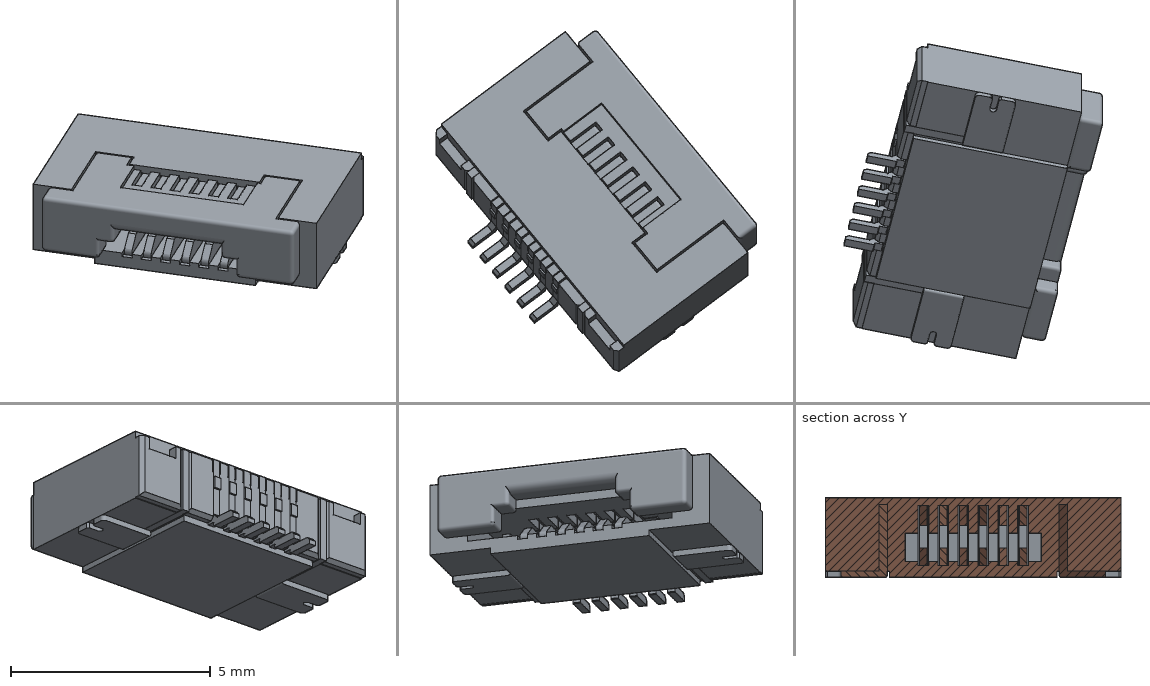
import cadquery as cq


HOUSING_WIDTH = 7.4
HOUSING_HEIGHT = 2.0
HOUSING_REAR = 4.2
LEDGE_DEPTH = 0.25
LEDGE_START = HOUSING_REAR - LEDGE_DEPTH
LEDGE_TOP = 1.82
LEDGE_BOTTOM = 0.17
LEDGE_CHAMFER = 0.1
FOOT_WIDTH = 4.2
NAIL_THICKNESS = 0.15

LEDGE_POCKET_INNER = 2.58
LEDGE_POCKET_OUTER = 3.45
LEDGE_POCKET_FLOOR = 1.5

CAVITY_WIDTH = 5.4
CAVITY_FLOOR = 0.4
CABLE_WIDTH = 3.4
CABLE_STOP = 2.95
ROOF_EDGE = 1.71
EAR_STOP = 2.12

SLIDE_GAP = 0.05
PLATE_BOTTOM = 1.1
FLANGE_WIDTH = 6.58
FLANGE_BOTTOM = 0.5
FLANGE_FRONT = -0.65
FLANGE_FILLET = 0.1
MOUTH_WIDTH = 2.8
MOUTH_TOP = 1.33
MOUTH_TOP_FILLET = 0.2
MOUTH_SIDE_FILLET = 0.1
LOWER_MOUTH_FILLET = 0.08
RIM_MARGIN = 0.03
LOWER_MOUTH_WIDTH = 3.58
LOWER_MOUTH_TOP = 1.0
WINDOW_LEFT = -1.56
WINDOW_RIGHT = 1.66
WINDOW_FRONT = 0.45
WINDOW_DEPTH = 0.1

CONTACT_COUNT = 6
PITCH = 0.5
CONTACT_THICKNESS = 0.2
SLOT_WIDTH = 0.26
SLOT_CLEARANCE_DEPTH = 0.3
CONTACT_BOTTOM = 0.3
CONTACT_TOP = 1.8
RISER_TOP = 1.85
UPPER_BEAM_BOTTOM = 1.3
UPPER_BEAM_TIP = 0.88
UPPER_BEAM_ROUND = 0.1
SLOT_FRONT = 0.85
LOWER_BEAM_TOP = 0.74
LOWER_BEAM_TIP = 0.09
TIP_ROUND_START = 0.12
TIP_ROUND_TOP = 0.47
LEAD_IN_LENGTH = 0.34
TAIL_TIP = 4.95
TAIL_HEIGHT = 0.2
TAIL_BEVEL = 0.08
TAIL_BEND = 4.33
HEEL_HEIGHT = 0.1
HEEL_FRONT = 3.99
HEEL_BEVEL = 0.02
STUB_LENGTH = 0.05
STUB_BOTTOM = 1.05
STUB_TOP = 1.36

NAIL_PLATE_INNER = 2.15
NAIL_PLATE_OUTER = 2.35
NAIL_FRONT = 1.68
NAIL_REAR = 2.71
NAIL_CORNER = 0.1
NAIL_BEND = 0.06
NAIL_SLOT_WIDTH = 0.17
NAIL_SLOT_DEPTH = 0.4
NAIL_SLOT_CORNER = 0.05
SLOT_ENTRY_CHAMFER = 0.08

contact_places = [(i - (CONTACT_COUNT - 1) / 2) * PITCH for i in range(CONTACT_COUNT)]


def block(x0, x1, y0, y1, z0, z1):
    """Box between two opposite corners."""
    return cq.Workplane("XY").box(x1 - x0, y1 - y0, z1 - z0, centered=False).translate((x0, y0, z0))


def wide_block(width, y0, y1, z0, z1):
    """Box centred on X = 0."""
    return block(-width / 2, width / 2, y0, y1, z0, z1)


def mirrored(body):
    """The same body on the other side of the YZ plane."""
    return body.mirror("YZ")


def housing_block():
    foot = wide_block(FOOT_WIDTH, 0, LEDGE_START, 0, NAIL_THICKNESS)
    main = wide_block(HOUSING_WIDTH, 0, LEDGE_START, NAIL_THICKNESS, HOUSING_HEIGHT)
    ledge = wide_block(HOUSING_WIDTH, LEDGE_START, HOUSING_REAR, LEDGE_BOTTOM, LEDGE_TOP)
    ledge = ledge.edges("(|Z and >Y) or (|X and >Y and <Z)").chamfer(LEDGE_CHAMFER)
    return main.union(foot).union(ledge)


def slider_cavity():
    front = wide_block(CAVITY_WIDTH, 0, ROOF_EDGE, CAVITY_FLOOR, HOUSING_HEIGHT)
    ear = block(CABLE_WIDTH / 2, CAVITY_WIDTH / 2, 0, EAR_STOP, CAVITY_FLOOR, HOUSING_HEIGHT)
    cable = wide_block(CABLE_WIDTH, 0, CABLE_STOP, CAVITY_FLOOR, PLATE_BOTTOM)
    return front.union(ear).union(mirrored(ear)).union(cable)


def contact_slot(x):
    """Loose at the cable end and in the top of the ledge, a tight fit around the riser."""
    clearance_end = CABLE_STOP + SLOT_CLEARANCE_DEPTH
    channel = wide_block(SLOT_WIDTH, 0, clearance_end, CONTACT_BOTTOM, CONTACT_TOP)
    tight = wide_block(CONTACT_THICKNESS, 0, HOUSING_REAR, CONTACT_BOTTOM, CONTACT_TOP)
    tight_rear = wide_block(CONTACT_THICKNESS, LEDGE_START, HOUSING_REAR, 0, LEDGE_TOP)
    loose_rear = wide_block(SLOT_WIDTH, LEDGE_START, HOUSING_REAR, LEDGE_POCKET_FLOOR, LEDGE_TOP)
    slot = channel.union(tight).union(tight_rear).union(loose_rear)
    return slot.translate((x, 0, 0))


def nail_slot():
    """Slot that the upright nail plate fills, with a chamfered entry at the rear."""
    slot = block(NAIL_PLATE_INNER, NAIL_PLATE_OUTER, NAIL_FRONT, HOUSING_REAR, NAIL_THICKNESS, LEDGE_TOP)
    entry = (
        cq.Workplane("XY", origin=(0, 0, LEDGE_BOTTOM))
        .polyline([
            (NAIL_PLATE_INNER - SLOT_ENTRY_CHAMFER, HOUSING_REAR),
            (NAIL_PLATE_INNER, HOUSING_REAR - SLOT_ENTRY_CHAMFER),
            (NAIL_PLATE_OUTER, HOUSING_REAR - SLOT_ENTRY_CHAMFER),
            (NAIL_PLATE_OUTER + SLOT_ENTRY_CHAMFER, HOUSING_REAR),
        ])
        .close()
        .extrude(LEDGE_TOP - LEDGE_BOTTOM)
    )
    return slot.union(entry)


def ledge_pocket():
    return block(
        LEDGE_POCKET_INNER, LEDGE_POCKET_OUTER, LEDGE_START, HOUSING_REAR, LEDGE_POCKET_FLOOR, LEDGE_TOP
    )


def make_housing():
    housing = housing_block().cut(slider_cavity())
    for x in contact_places:
        housing = housing.cut(contact_slot(x))
    for cutter in (nail_slot(), ledge_pocket()):
        housing = housing.cut(cutter).cut(mirrored(cutter))
    return housing


def mouth_rim(width, z0, z1):
    """Picks the front edges of the mouth that lie within a width and between two heights."""
    low = (-width / 2 - RIM_MARGIN, FLANGE_FRONT - RIM_MARGIN, z0 - RIM_MARGIN)
    high = (width / 2 + RIM_MARGIN, FLANGE_FRONT + RIM_MARGIN, z1 + RIM_MARGIN)
    return cq.selectors.BoxSelector(low, high, boundingbox=True)


def slider_flange():
    """Front grip bar with rounded outer edges and a stepped mouth for the cable."""
    flange = wide_block(FLANGE_WIDTH, FLANGE_FRONT, -SLIDE_GAP, FLANGE_BOTTOM, HOUSING_HEIGHT)
    flange = flange.cut(
        wide_block(LOWER_MOUTH_WIDTH, FLANGE_FRONT, -SLIDE_GAP, FLANGE_BOTTOM, LOWER_MOUTH_TOP)
    )
    flange = flange.cut(
        wide_block(MOUTH_WIDTH, FLANGE_FRONT, -SLIDE_GAP, LOWER_MOUTH_TOP, MOUTH_TOP)
    )
    outer = "(<X or >X or <Z or >Z) and (not (|X and >Y and >Z))"
    flange = flange.edges(outer).fillet(FLANGE_FILLET)
    flange = flange.edges(mouth_rim(MOUTH_WIDTH, MOUTH_TOP, MOUTH_TOP)).fillet(MOUTH_TOP_FILLET)
    rounded_top = MOUTH_TOP + MOUTH_TOP_FILLET
    sides = flange.edges(mouth_rim(MOUTH_WIDTH, LOWER_MOUTH_TOP, rounded_top)).edges("|Z")
    flange = sides.fillet(MOUTH_SIDE_FILLET)
    lower_rim = flange.edges(mouth_rim(LOWER_MOUTH_WIDTH, FLANGE_BOTTOM, LOWER_MOUTH_TOP)).edges("|Z or |X")
    return lower_rim.fillet(LOWER_MOUTH_FILLET)


def slider_plate():
    half = CAVITY_WIDTH / 2 - SLIDE_GAP
    ear_inner = CABLE_WIDTH / 2 + SLIDE_GAP
    plate = wide_block(2 * half, -SLIDE_GAP, ROOF_EDGE - SLIDE_GAP, PLATE_BOTTOM, HOUSING_HEIGHT)
    ear = block(ear_inner, half, 0, EAR_STOP - SLIDE_GAP, PLATE_BOTTOM, HOUSING_HEIGHT)
    return plate.union(ear).union(mirrored(ear))


def make_slider():
    slider = slider_plate().union(slider_flange())
    window_floor = HOUSING_HEIGHT - WINDOW_DEPTH
    plate_rear = ROOF_EDGE - SLIDE_GAP
    slider = slider.cut(block(WINDOW_LEFT, WINDOW_RIGHT, WINDOW_FRONT, plate_rear, window_floor, HOUSING_HEIGHT))
    for x in contact_places:
        slot = wide_block(SLOT_WIDTH, SLOT_FRONT, plate_rear, PLATE_BOTTOM, HOUSING_HEIGHT)
        slider = slider.cut(slot.translate((x, 0, 0)))
    return slider


def make_contact(x):
    """Stamped contact: solder tail, riser in the rear wall, two forward beams."""
    tip_middle = (TIP_ROUND_TOP + CONTACT_BOTTOM) / 2
    slope_top = TAIL_HEIGHT + TAIL_BEND - HOUSING_REAR
    profile = (
        cq.Workplane("YZ", origin=(x - CONTACT_THICKNESS / 2, 0, 0))
        .moveTo(TAIL_TIP, 0)
        .lineTo(TAIL_TIP, TAIL_HEIGHT - TAIL_BEVEL)
        .lineTo(TAIL_TIP - TAIL_BEVEL, TAIL_HEIGHT)
        .lineTo(TAIL_BEND, TAIL_HEIGHT)
        .lineTo(HOUSING_REAR, slope_top)
        .lineTo(HOUSING_REAR, STUB_BOTTOM)
        .lineTo(HOUSING_REAR + STUB_LENGTH, STUB_BOTTOM)
        .lineTo(HOUSING_REAR + STUB_LENGTH, STUB_TOP)
        .lineTo(HOUSING_REAR, STUB_TOP)
        .lineTo(HOUSING_REAR, RISER_TOP)
        .lineTo(LEDGE_START, RISER_TOP)
        .lineTo(LEDGE_START, CONTACT_TOP)
        .lineTo(UPPER_BEAM_TIP + UPPER_BEAM_ROUND, CONTACT_TOP)
        .radiusArc((UPPER_BEAM_TIP, CONTACT_TOP - UPPER_BEAM_ROUND), -UPPER_BEAM_ROUND)
        .lineTo(UPPER_BEAM_TIP, UPPER_BEAM_BOTTOM)
        .lineTo(CABLE_STOP, UPPER_BEAM_BOTTOM)
        .lineTo(CABLE_STOP, LOWER_BEAM_TOP)
        .lineTo(TIP_ROUND_START + LEAD_IN_LENGTH, LOWER_BEAM_TOP)
        .lineTo(TIP_ROUND_START, TIP_ROUND_TOP)
        .threePointArc((LOWER_BEAM_TIP, tip_middle), (TIP_ROUND_START, CONTACT_BOTTOM))
        .lineTo(HEEL_FRONT, CONTACT_BOTTOM)
        .lineTo(HEEL_FRONT, HEEL_HEIGHT)
        .lineTo(HOUSING_REAR, HEEL_HEIGHT)
        .lineTo(HOUSING_REAR, HEEL_BEVEL)
        .lineTo(HOUSING_REAR + HEEL_BEVEL, 0)
        .close()
    )
    return profile.extrude(CONTACT_THICKNESS)


def make_nail():
    """Upright plate held in the housing, bent outward below it into a forked solder pad."""
    rear_plate = block(NAIL_PLATE_INNER, NAIL_PLATE_OUTER, EAR_STOP, HOUSING_REAR, NAIL_THICKNESS, LEDGE_TOP)
    front_plate = block(NAIL_PLATE_INNER, NAIL_PLATE_OUTER, NAIL_FRONT, EAR_STOP, NAIL_THICKNESS, PLATE_BOTTOM)
    pad_end = HOUSING_WIDTH / 2
    pad = block(NAIL_PLATE_INNER, pad_end, NAIL_FRONT, NAIL_REAR, 0, NAIL_THICKNESS)
    pad = pad.edges("|Y and <X and <Z").fillet(NAIL_BEND)
    pad = pad.edges("|Z and >X").fillet(NAIL_CORNER)
    return rear_plate.union(front_plate).union(pad.cut(nail_fork_slot(pad_end)))


def nail_fork_slot(pad_end):
    """Round-ended slot that opens at the outer end of the pad, with chamfered lips."""
    middle = (NAIL_FRONT + NAIL_REAR) / 2
    half = NAIL_SLOT_WIDTH / 2
    slot_end = pad_end - NAIL_SLOT_DEPTH
    lip = half + NAIL_SLOT_CORNER
    return (
        cq.Workplane("XY")
        .moveTo(pad_end, middle - lip)
        .lineTo(pad_end - NAIL_SLOT_CORNER, middle - half)
        .lineTo(slot_end + half, middle - half)
        .threePointArc((slot_end, middle), (slot_end + half, middle + half))
        .lineTo(pad_end - NAIL_SLOT_CORNER, middle + half)
        .lineTo(pad_end, middle + lip)
        .close()
        .extrude(NAIL_THICKNESS)
    )


housing = make_housing()
slider = make_slider()
contacts = [make_contact(x) for x in contact_places]
nail_right = make_nail()
nail_left = mirrored(nail_right)

result = cq.Compound.makeCompound([
    housing.val(),
    slider.val(),
    *[contact.val() for contact in contacts],
    nail_right.val(),
    nail_left.val(),
])